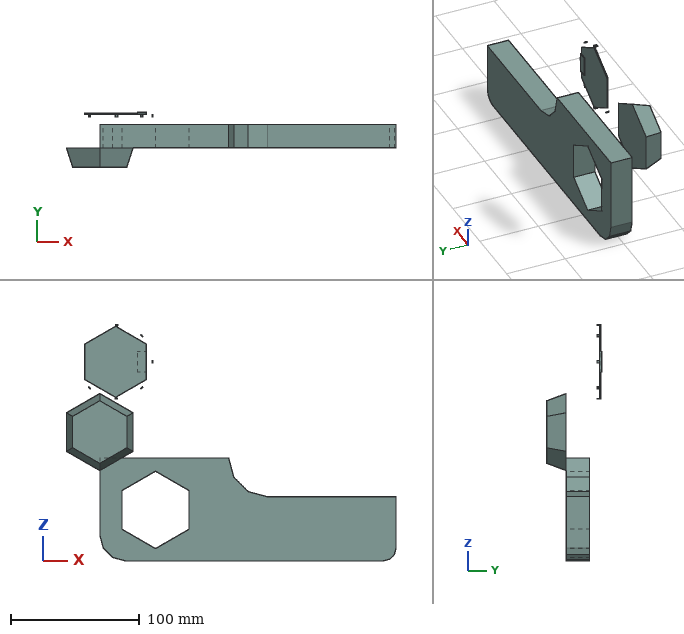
import cadquery as cq
import math

flat_ratio = math.cos(math.pi / 6)

head_radius = 30.0
head_flat = head_radius * flat_ratio
total_length = 256
arm_length = total_length - head_flat
arm_thickness = 18.2
arm_height = 80.0
handle_height = 50.0
step_x = 100.0
step_radius = arm_height - handle_height
left_corner_radius = 20.0
right_corner_radius = 10.0
hole_x = 43.3
hole_z = 39.7
corner_facets = 3

head_z = 100.0
head_depth = 15.0
head_front_radius = 24.3

cover_x = 12.3
cover_z = 154.5
cover_radius = 27.6
cover_back = 27.0
cover_thickness = 1.0
cover_front = cover_back - cover_thickness
pad_width = 7.0
pad_height = 16.0
pad_center_x = cover_x + cover_radius * flat_ratio - pad_width / 2
pad_thickness = 0.8

clip_circle = 28.7
clip_length = 2.0
clip_width = 0.56
clip_front = 23.8
free_clip_angles = [-135, -45, 0, 45]
joined_clip_angles = [-89, 88]
root_length = 2.0
root_width = 1.0


def hexagon(x, z, radius):
    """Corner points of a hexagon with one corner straight up."""
    angles = [math.radians(90 + 60 * i) for i in range(6)]
    return [(x + radius * math.cos(a), z + radius * math.sin(a)) for a in angles]


def prism(points, front, back):
    """Solid with the given XZ outline, from Y = front to Y = back."""
    plane = cq.Workplane("XZ", origin=(0, front, 0))
    return plane.polyline(points).close().extrude(front - back)


def faceted_arc(x, z, radius, start, sweep):
    """Points of a faceted arc around (x, z); angles are in degrees."""
    angles = [math.radians(start + sweep * i / corner_facets) for i in range(corner_facets + 1)]
    return [(x + radius * math.cos(a), z + radius * math.sin(a)) for a in angles]


def make_arm():
    """L-shaped plate with a hexagonal hole."""
    outline = [(0, arm_height)]
    outline += faceted_arc(left_corner_radius, left_corner_radius, left_corner_radius, 180, 90)
    outline += faceted_arc(
        arm_length - right_corner_radius, right_corner_radius, right_corner_radius, 270, 90
    )
    outline += [(arm_length, handle_height)]
    outline += faceted_arc(step_x + step_radius, arm_height, step_radius, 270, -90)
    hole = prism(hexagon(hole_x, hole_z, head_radius), 0, arm_thickness)
    return prism(outline, 0, arm_thickness).cut(hole)


def make_head():
    """Hexagonal block that tapers towards its front face."""
    return (
        cq.Workplane("XZ")
        .polyline(hexagon(0, head_z, head_radius))
        .close()
        .workplane(offset=head_depth)
        .polyline(hexagon(0, head_z, head_front_radius))
        .close()
        .loft(ruled=True)
    )


def block_on_clip_circle(angle, front, back, inner, width):
    """Block from Y = front to Y = back whose radial range starts at inner, turned to the given angle."""
    return (
        cq.Workplane("XY")
        .box(clip_circle + clip_width / 2 - inner, back - front, width)
        .translate(((clip_circle + clip_width / 2 + inner) / 2, (front + back) / 2, 0))
        .rotate((0, 0, 0), (0, 1, 0), -angle)
        .translate((cover_x, 0, cover_z))
    )


def make_clip(angle):
    """Thin block along the clip circle, standing in front of the cover."""
    return block_on_clip_circle(
        angle, clip_front, cover_front, clip_circle - clip_width / 2, clip_length
    )


def make_cover():
    """Hexagonal sheet with a raised pad on its back and two clips on tabs."""
    cover = prism(hexagon(cover_x, cover_z, cover_radius), cover_front, cover_back)
    pad = cq.Workplane("XY").box(pad_width, pad_thickness, pad_height).translate(
        (pad_center_x, cover_back + pad_thickness / 2, cover_z)
    )
    cover = cover.union(pad)
    for angle in joined_clip_angles:
        root = block_on_clip_circle(
            angle, cover_front, cover_back, clip_circle - root_length, root_width
        )
        cover = cover.union(root).union(make_clip(angle))
    return cover


arm = make_arm()
head = make_head()
cover = make_cover()
clips = [make_clip(angle) for angle in free_clip_angles]

result = cq.Compound.makeCompound(
    [arm.val(), head.val(), cover.val(), *[clip.val() for clip in clips]]
)